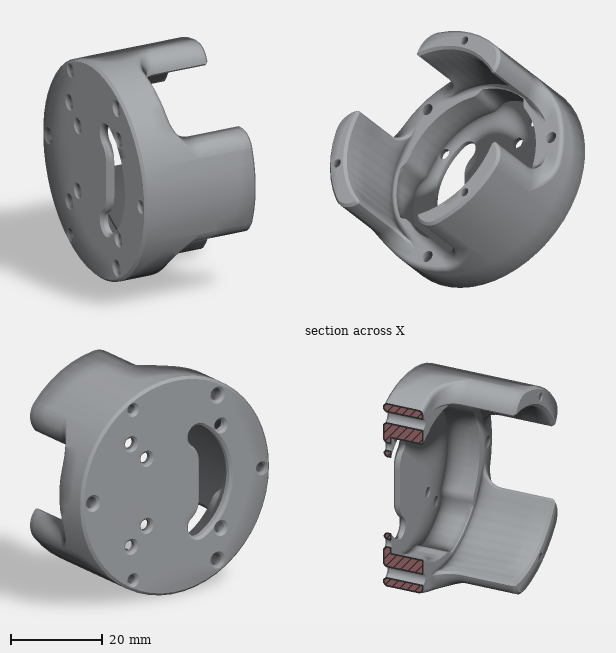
import cadquery as cq
import math

outer_radius = 25.0
total_depth = 27.5
cavity_radius = 20.5
plate_thickness = 1.75
edge_chamfer = 0.6

post_angles = (0, 120, 240)
window_angles = (60, 180, 300)
window_half_angle = 38.9
window_floor = 9.5
cove_radius = 5.0
lip_radius = 1.0
post_end_radius = 5.0
tangency_margin = 0.0005
post_end_center_radius = outer_radius - post_end_radius + tangency_margin

front_cavity_radius = 18.0
recess_radius = 20.1
recess_top = 9.25
recess_shelf_radius = 19.4
recess_half_angle = 12.2
recess_corner_radius = 3.65
recess_mouth_radius = 2.75

hole_chamfer = 0.6
post_hole_diameter = 2.0
post_hole_circle_radius = 22.7
window_hole_diameter = 2.7
window_hole_circle_radius = 22.0
plate_hole_diameter = 2.5
square_hole_offset = 11.85
pair_hole_offset = 7.75

slot_end_radius = 2.5
slot_center_radius = 12.0
slot_half_angle = 60.0
slot_flat_x = 6.5
slot_blend_radius = 5.0


def polar(radius, angle, center=(0, 0)):
    return (
        center[0] + radius * math.cos(math.radians(angle)),
        center[1] + radius * math.sin(math.radians(angle)),
    )


def mirrored(point):
    return (point[0], -point[1])


def sketch_at(depth):
    """Sketch plane at Y = depth with local axes +X and +Z; negative extrusion runs toward +Y."""
    return cq.Workplane("XZ", origin=(0, depth, 0))


def cylinder(radius, start, end, center=(0, 0)):
    return sketch_at(start).center(*center).circle(radius).extrude(start - end)


def window(angle):
    """Cutter for one window: rounded post ends for sides and a cove along the floor."""
    post_low = polar(post_end_center_radius, -window_half_angle)
    post_high = polar(post_end_center_radius, window_half_angle)
    outer_low = polar(post_end_radius, -window_half_angle, post_low)
    outer_high = polar(post_end_radius, window_half_angle, post_high)
    run_out = outer_radius / 2
    far_low = polar(run_out, -window_half_angle - 90, outer_low)
    far_high = polar(run_out, window_half_angle + 90, outer_high)
    beyond = 2 * outer_radius
    profile = (
        sketch_at(window_floor)
        .moveTo(*far_low)
        .lineTo(*outer_low)
        .threePointArc(
            polar(post_end_radius, 90 - window_half_angle, post_low),
            polar(post_end_radius, 180 - window_half_angle, post_low),
        )
        .lineTo(*polar(post_end_radius, window_half_angle - 180, post_high))
        .threePointArc(polar(post_end_radius, window_half_angle - 90, post_high), outer_high)
        .lineTo(*far_high)
        .lineTo(beyond, far_high[1])
        .lineTo(beyond, far_low[1])
        .close()
    )
    cutter = profile.extrude(window_floor - total_depth)
    cutter = cutter.faces("<Y").edges("%CIRCLE").fillet(cove_radius)
    return cutter.rotate((0, 0, 0), (0, 1, 0), -angle)


class WallEdges(cq.Selector):
    """Edges lying on a wall of the given radius, between two depths."""

    def __init__(self, radius, start, end):
        self.radius = radius
        self.start = start
        self.end = end

    def filter(self, objects):
        tolerance = 0.005
        picked = []
        for edge in objects:
            box = edge.BoundingBox()
            middle = edge.positionAt(0.5)
            on_wall = abs(math.hypot(middle.x, middle.z) - self.radius) < tolerance
            if on_wall and box.ymin > self.start - tolerance and box.ymax < self.end + tolerance:
                picked.append(edge)
        return picked


def recess(angle):
    """Cutter for one recess: concave corners that flare into the front cavity through convex mouths."""
    corner_distance = recess_radius - recess_corner_radius
    mouth_distance = front_cavity_radius + recess_mouth_radius
    span = recess_corner_radius + recess_mouth_radius
    cosine = (corner_distance**2 + mouth_distance**2 - span**2) / (2 * corner_distance * mouth_distance)
    mouth_angle = recess_half_angle + math.degrees(math.acos(cosine))
    corner = polar(corner_distance, recess_half_angle)
    mouth = polar(mouth_distance, mouth_angle)
    toward_mouth = math.degrees(math.atan2(mouth[1] - corner[1], mouth[0] - corner[0]))
    meeting = polar(recess_corner_radius, toward_mouth, corner)
    corner_middle = polar(recess_corner_radius, (recess_half_angle + toward_mouth) / 2, corner)
    mouth_middle = polar(recess_mouth_radius, (toward_mouth + mouth_angle) / 2 + 180, mouth)
    corner_start = polar(recess_radius, recess_half_angle)
    mouth_end = polar(front_cavity_radius, mouth_angle)
    profile = (
        sketch_at(plate_thickness)
        .moveTo(*mirrored(corner_start))
        .threePointArc((recess_radius, 0), corner_start)
        .threePointArc(corner_middle, meeting)
        .threePointArc(mouth_middle, mouth_end)
        .lineTo(0, 0)
        .lineTo(*mirrored(mouth_end))
        .threePointArc(mirrored(mouth_middle), mirrored(meeting))
        .threePointArc(mirrored(corner_middle), mirrored(corner_start))
        .close()
    )
    recess_cut = profile.extrude(plate_thickness - window_floor)
    pocket = recess_cut.intersect(cylinder(outer_radius, plate_thickness, recess_top))
    opening = recess_cut.intersect(cylinder(recess_shelf_radius, plate_thickness, window_floor))
    return pocket.union(opening).rotate((0, 0, 0), (0, 1, 0), -angle)


def chamfered_hole(diameter, center):
    """Through hole with a chamfered mouth on the front face."""
    radius = diameter / 2
    mouth = sketch_at(0).center(*center).circle(radius + hole_chamfer)
    mouth = mouth.workplane(offset=-hole_chamfer).circle(radius).loft(ruled=True)
    return cylinder(radius, 0, total_depth, center).union(mouth)


def kidney_slot():
    """Slot bounded by an arc about the axis, round ends, and a flat blended into the ends."""
    end_x, end_z = polar(slot_center_radius, slot_half_angle)
    outer_arc_radius = slot_center_radius + slot_end_radius
    tip = polar(outer_arc_radius, slot_half_angle)
    blend_x = slot_flat_x - slot_blend_radius
    blend_reach = slot_blend_radius + slot_end_radius
    blend_z = end_z - math.sqrt(blend_reach**2 - (end_x - blend_x) ** 2)
    blend_angle = math.degrees(math.atan2(end_z - blend_z, end_x - blend_x))
    blend_end = polar(slot_blend_radius, blend_angle, (blend_x, blend_z))
    blend_middle = polar(slot_blend_radius, blend_angle / 2, (blend_x, blend_z))
    end_middle = polar(slot_end_radius, (slot_half_angle + blend_angle + 180) / 2, (end_x, end_z))

    slot = (
        sketch_at(0)
        .moveTo(*mirrored(tip))
        .threePointArc((outer_arc_radius, 0), tip)
        .threePointArc(end_middle, blend_end)
        .threePointArc(blend_middle, (slot_flat_x, blend_z))
        .lineTo(slot_flat_x, -blend_z)
        .threePointArc(mirrored(blend_middle), mirrored(blend_end))
        .threePointArc(mirrored(end_middle), mirrored(tip))
        .close()
    )
    return slot.extrude(-total_depth)


body = cylinder(outer_radius, 0, total_depth)
for window_angle in window_angles:
    body = body.cut(window(window_angle))
cove_top = window_floor + cove_radius
body = body.edges(WallEdges(outer_radius, window_floor, cove_top)).fillet(lip_radius)

body = body.cut(cylinder(cavity_radius, window_floor, total_depth))
inner_window_edges = WallEdges(cavity_radius, cove_top, total_depth) & cq.selectors.StringSyntaxSelector("|Y")
body = body.edges(inner_window_edges).chamfer(edge_chamfer)
body = body.faces(">Y").chamfer(edge_chamfer)
body = body.cut(cylinder(front_cavity_radius, plate_thickness, window_floor))
for post_angle in post_angles:
    body = body.cut(recess(post_angle))
body = body.faces("<Y").edges().chamfer(edge_chamfer)

body = body.cut(kidney_slot())
body = body.faces("<Y").edges("|Z").chamfer(hole_chamfer)

for hole_angle in post_angles:
    body = body.cut(chamfered_hole(post_hole_diameter, polar(post_hole_circle_radius, hole_angle)))
for hole_angle in window_angles:
    body = body.cut(chamfered_hole(window_hole_diameter, polar(window_hole_circle_radius, hole_angle)))

plate_hole_centers = [
    (-square_hole_offset, square_hole_offset),
    (-square_hole_offset, -square_hole_offset),
    (square_hole_offset, square_hole_offset),
    (square_hole_offset, -square_hole_offset),
    (-pair_hole_offset, pair_hole_offset),
    (-pair_hole_offset, -pair_hole_offset),
]
for center in plate_hole_centers:
    body = body.cut(chamfered_hole(plate_hole_diameter, center))

result = body